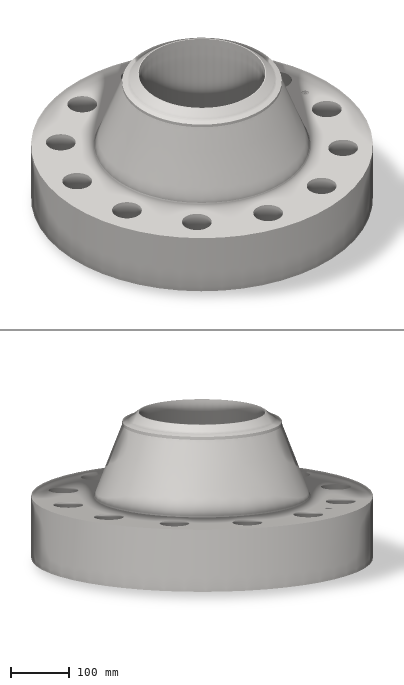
import cadquery as cq
import math

flange_diameter = 584.0
flange_thickness = 108.0

face_diameter = 371.5
face_height = 11.0

hub_length = 146.0
hub_base_diameter = 368.0
flare_diameter = face_diameter
flare_height = 2.0

collar_diameter = 273.0
collar_height = 5.0
shoulder_diameter = 252.5
shoulder_height = 3.5
shoulder_fillet = 6.0
root_diameter = 219.5
bevel_height = 12.0

bore_diameter = 216.0

bolt_count = 12
bolt_circle_diameter = 482.5
bolt_hole_diameter = 51.0
bolt_pitch_angle = 360.0 / bolt_count

small_hole_angle = 90.0 + bolt_pitch_angle / 2
small_hole_diameter = 5.0
small_hole_depth = 2.5
counterbore_diameter = 13.0
counterbore_depth = 1.0

hub_top = flange_thickness + hub_length
bevel_bottom = hub_top - bevel_height
collar_top = bevel_bottom - shoulder_height
collar_bottom = collar_top - collar_height


def make_body():
    """Revolve the half section of the flange, hub and bore about Z."""
    bore_radius = bore_diameter / 2
    section = [
        (bore_radius, -face_height),
        (face_diameter / 2, -face_height),
        (face_diameter / 2, 0),
        (flange_diameter / 2, 0),
        (flange_diameter / 2, flange_thickness),
        (flare_diameter / 2, flange_thickness),
        (hub_base_diameter / 2, flange_thickness + flare_height),
        (collar_diameter / 2, collar_bottom),
        (collar_diameter / 2, collar_top),
        (shoulder_diameter / 2, bevel_bottom),
        (root_diameter / 2, hub_top),
        (bore_radius, hub_top),
    ]
    profile = cq.Workplane("XZ").polyline(section).close()
    return profile.revolve(360, (0, 0, 0), (0, 1, 0))


def round_shoulder(body):
    """Fillet the inner corner where the bevel meets the sloping shoulder."""
    half_band = shoulder_height / 2
    shoulder_corner = cq.selectors.BoxSelector(
        (-shoulder_diameter, -shoulder_diameter, bevel_bottom - half_band),
        (shoulder_diameter, shoulder_diameter, bevel_bottom + half_band),
        boundingbox=True,
    )
    return body.edges(shoulder_corner).fillet(shoulder_fillet)


def make_bolt_holes():
    """Cylinders that pass through the flange, evenly spaced on the bolt circle."""
    return (
        cq.Workplane("XY")
        .polarArray(bolt_circle_diameter / 2, 0, 360, bolt_count)
        .circle(bolt_hole_diameter / 2)
        .extrude(flange_thickness)
    )


def make_small_hole():
    """Counterbored blind hole sunk into the top of the flange."""
    angle = math.radians(small_hole_angle)
    radius = bolt_circle_diameter / 2
    center = (radius * math.cos(angle), radius * math.sin(angle), flange_thickness)
    plane = cq.Workplane("XY", origin=center)
    counterbore = plane.circle(counterbore_diameter / 2).extrude(-counterbore_depth)
    pilot = plane.circle(small_hole_diameter / 2).extrude(-small_hole_depth)
    return counterbore.union(pilot)


result = round_shoulder(make_body()).cut(make_bolt_holes()).cut(make_small_hole())